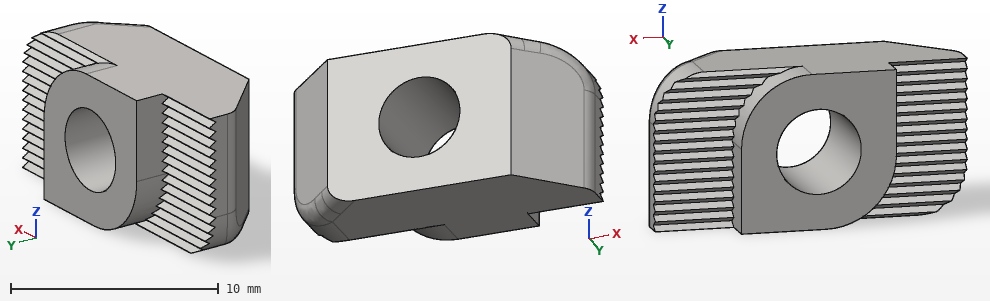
import cadquery as cq
import math


length = 15.5
height = 7.7
total_depth = 6.0
shoulder_depth = 4.5
corner_radius = 2.5
bevel = 3.0
bevel_fillet = 1.0

boss_width = height
boss_corner_radius = 3.5

hole_diameter = 4.2

pitch = 0.5
groove_depth = 0.4
groove_count = math.ceil(height / pitch)

half_length = length / 2
half_height = height / 2


def half_turn(shape):
    """Shape turned 180 degrees about the Y axis."""
    return shape.rotate((0, 0, 0), (0, 1, 0), 180)


def rounded_block(width, radius):
    """Full-depth block with its (-X, -Z) and (+X, +Z) corners rounded."""
    block = cq.Workplane("XY").box(width, total_depth, height)
    block = block.edges("|Y and ((<X and <Z) or (>X and >Z))").fillet(radius)
    return block.translate((0, total_depth / 2, 0))


def bevel_cutter():
    """Triangular prism that takes off the narrow-face corner at -X."""
    return (
        cq.Workplane("XY")
        .polyline([(-half_length, 0), (-half_length + bevel, 0), (-half_length, bevel)])
        .close()
        .extrude(half_height, both=True)
    )


def serration_cutter():
    """Everything beyond the serrated shoulder on the -X half; a crest lies at the +Z face."""
    points = [(shoulder_depth, half_height)]
    for index in range(groove_count):
        crest_z = half_height - index * pitch
        points.append((shoulder_depth - groove_depth, crest_z - pitch / 2))
        points.append((shoulder_depth, crest_z - pitch))
    lowest_z = half_height - groove_count * pitch
    points.append((total_depth, lowest_z))
    points.append((total_depth, half_height))
    return cq.Workplane("YZ").polyline(points).close().extrude(-half_length)


def beveled_body():
    """Full-depth body with both bevels and their outlines rounded."""
    body = rounded_block(length, corner_radius)
    body = body.cut(bevel_cutter()).cut(half_turn(bevel_cutter()))
    return body.edges("%ELLIPSE").fillet(bevel_fillet)


boss = rounded_block(boss_width, boss_corner_radius)
shoulder_cutter = serration_cutter().union(half_turn(serration_cutter())).cut(boss)
hole = cq.Workplane("XZ").circle(hole_diameter / 2).extrude(-total_depth)

result = beveled_body().cut(shoulder_cutter).cut(hole)